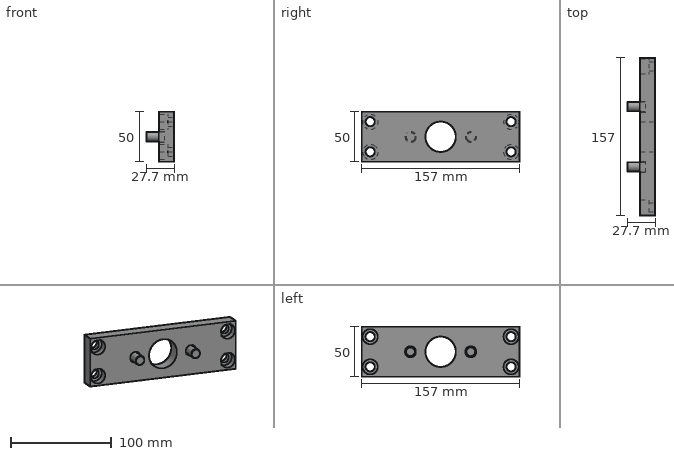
import cadquery as cq

plate_thickness = 15.0
plate_length = 157.0
plate_height = 50.0
window_diameter = 30.0

screw_hole_diameter = 9.0
counterbore_diameter = 15.0
counterbore_depth = 8.6
screw_edge_distance = 8.5
screw_row_spacing = 30.0
screw_column_spacing = plate_length - 2 * screw_edge_distance

pin_diameter = 9.5
pin_hole_diameter = 11.0
pin_hole_depth = 5.5
pin_projection = 12.7
pin_chamfer = 0.5
pin_spacing = 60.0
pin_positions = [-pin_spacing / 2, pin_spacing / 2]


def make_plate():
    """Rectangular plate with a round window, pin holes and mounting holes."""
    plate = cq.Workplane("XY").box(
        plate_thickness, plate_length, plate_height, centered=(False, True, True)
    )
    front = plate.faces("<X").workplane(origin=(0, 0, 0))
    plate = front.hole(window_diameter)

    front = plate.faces("<X").workplane(origin=(0, 0, 0))
    plate = front.pushPoints([(y, 0) for y in pin_positions]).hole(
        pin_hole_diameter, pin_hole_depth
    )

    front = plate.faces("<X").workplane(origin=(0, 0, 0))
    plate = front.rarray(screw_column_spacing, screw_row_spacing, 2, 2).cboreHole(
        screw_hole_diameter, counterbore_diameter, counterbore_depth
    )
    return plate


def make_pin(y):
    """Pin seated on the floor of its hole, chamfered at its free end."""
    pin = (
        cq.Workplane("YZ", origin=(-pin_projection, y, 0))
        .circle(pin_diameter / 2)
        .extrude(pin_projection + pin_hole_depth)
    )
    return pin.faces("<X").chamfer(pin_chamfer)


plate = make_plate()
pins = [make_pin(y) for y in pin_positions]

result = cq.Compound.makeCompound([plate.val(), *[pin.val() for pin in pins]])